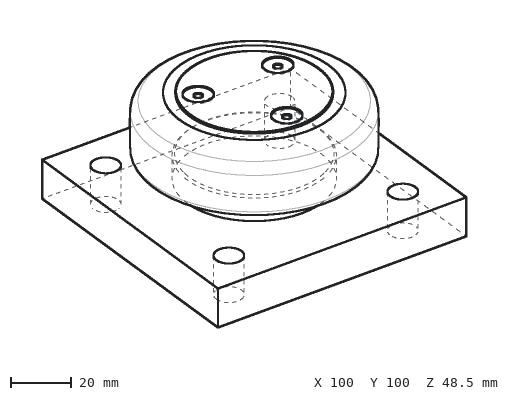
import cadquery as cq
import math

plate_side = 100.0
plate_height = 15.0
mount_hole_diameter = 10.1
mount_hole_spacing = 70.0

neck_radius = 27.0
neck_bevel = 0.8

roller_bottom = 24.7
roller_rim_radius = 40.8
crown_rise = 0.15
lower_fillet = 2.2
crown_bottom = roller_bottom + lower_fillet
crown_top = 40.9
cone_bottom = 44.7
cone_bottom_radius = 38.2
cone_top = 48.0
cone_top_radius = 30.0

cover_radius = 26.0
cover_top = 48.5
cover_chamfer = 0.3

screw_count = 3
screw_circle_radius = 18.5
screw_recess_diameter = 10.4
screw_recess_depth = 0.5
socket_diameter = 3.2
socket_depth = 0.5


def make_plate():
    return (
        cq.Workplane("XY")
        .box(plate_side, plate_side, plate_height, centered=(True, True, False))
        .faces(">Z")
        .workplane()
        .rect(mount_hole_spacing, mount_hole_spacing, forConstruction=True)
        .vertices()
        .hole(mount_hole_diameter)
    )


def make_roller():
    """Revolve the neck, roller and cover profile about the Z axis."""
    bend = math.sqrt(0.5)
    lower_fillet_middle = (
        roller_rim_radius - lower_fillet * (1 - bend),
        crown_bottom - lower_fillet * bend,
    )
    crown_middle = (roller_rim_radius + crown_rise, (crown_bottom + crown_top) / 2)
    profile = (
        cq.Workplane("XZ")
        .moveTo(0, plate_height)
        .lineTo(neck_radius, plate_height)
        .lineTo(neck_radius, roller_bottom - neck_bevel)
        .lineTo(neck_radius - neck_bevel, roller_bottom)
        .lineTo(roller_rim_radius - lower_fillet, roller_bottom)
        .threePointArc(lower_fillet_middle, (roller_rim_radius, crown_bottom))
        .threePointArc(crown_middle, (roller_rim_radius, crown_top))
        .tangentArcPoint((cone_bottom_radius, cone_bottom), relative=False)
        .lineTo(cone_top_radius, cone_top)
        .lineTo(cover_radius, cone_top)
        .lineTo(cover_radius, cover_top - cover_chamfer)
        .lineTo(cover_radius - cover_chamfer, cover_top)
        .lineTo(0, cover_top)
        .close()
    )
    return profile.revolve(360, (0, 0, 0), (0, 1, 0))


def cut_screws(body):
    """Sink each screw head and its drive socket below the cover face."""
    recess_floor = cover_top - screw_recess_depth
    for top, diameter, depth in (
        (cover_top, screw_recess_diameter, screw_recess_depth),
        (recess_floor, socket_diameter, socket_depth),
    ):
        cutter = (
            cq.Workplane("XY")
            .workplane(offset=top)
            .polarArray(screw_circle_radius, 0, 360, screw_count)
            .circle(diameter / 2)
            .extrude(-depth)
        )
        body = body.cut(cutter)
    return body


result = cut_screws(make_plate().union(make_roller()))